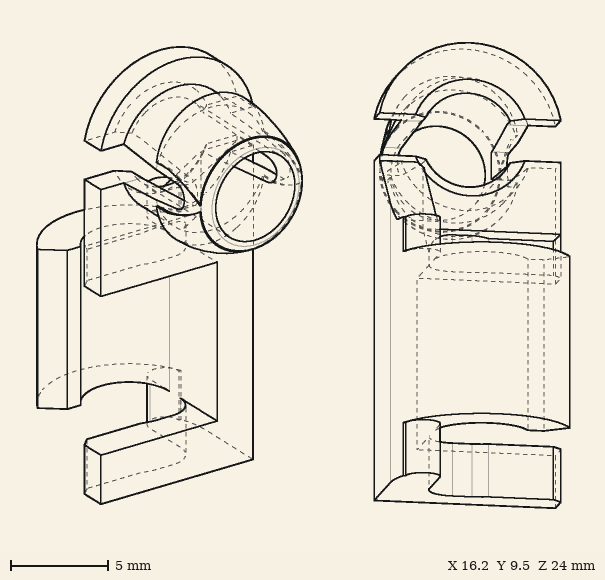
import cadquery as cq
import math


plate_thickness = 1.5
plate_top_z = 5.0
half_width = 4.75
cable_radius = 2.5
clip_x = -4.35
tip_inner_x = -5.53
tip_inner_y = -3.05
tip_outer_x = -6.5
arm_end_x = -6.1
arm_end_radius = 0.9
flange_depth = 0.5
flange_chamfer = 0.5
corner_radius = 1.48

bottom_z = -18.99
hook_bottom_z = -16.2
hook_top_z = -7.17
arm_top_z = -5.37
flange_slope_z = -4.89
arm_slope_z = -1.41

neck_radius = 3.5
neck_length = 3.0
plug_length = 7.1
bore_radius = 2.47
bore_chamfer = 0.6
tip_radius = 3.12
core_bulge_radius = 3.36
tip_round = 0.4
barb_radius = 3.37
barb_height = 4.22
barb_sections = 4
barb_tip_radius = 3.18
barb_edge_z = 1.25
barb_bend_x = 4.04
barb_middle = (5.4, 0.86)
barb_tip_z = 0.18
slot_half_height = 1.1
slot_end_radius = 0.72
slot_end_x = 5.45

plate_x = -plate_thickness
flange_x = plate_x - flange_depth
channel_x = clip_x + cable_radius
entry_radius = bore_radius + bore_chamfer


def block(x0, x1, y0, y1, z0, z1):
    """Axis-aligned box given by its limits."""
    return cq.Workplane("XY").box(x1 - x0, y1 - y0, z1 - z0, centered=False).translate((x0, y0, z0))


def cylinder_z(x, y, radius, z0, z1):
    return cq.Workplane("XY", origin=(x, y, z0)).circle(radius).extrude(z1 - z0)


def make_hook():
    """C-shaped hook joined to a straight arm that reaches the plate."""
    tip_outer_y = -math.sqrt(half_width**2 - (tip_outer_x - clip_x)**2)
    tip_channel_y = -math.sqrt(cable_radius**2 - (tip_inner_x - clip_x)**2)
    return (
        cq.Workplane("XY", origin=(0, 0, hook_bottom_z))
        .moveTo(0, cable_radius)
        .lineTo(0, half_width)
        .lineTo(clip_x, half_width)
        .threePointArc((clip_x - half_width, 0), (tip_outer_x, tip_outer_y))
        .lineTo(tip_inner_x, tip_inner_y)
        .lineTo(tip_inner_x, tip_channel_y)
        .threePointArc((clip_x - cable_radius, 0), (clip_x, cable_radius))
        .close()
        .extrude(hook_top_z - hook_bottom_z)
    )


def make_arm(z0, z1):
    """Straight arm with a rounded free end, kept inside the hook's outer cylinder."""
    arm = block(arm_end_x, 0, cable_radius, half_width, z0, z1)
    arm = arm.union(cylinder_z(arm_end_x, cable_radius + arm_end_radius, arm_end_radius, z0, z1))
    envelope = cylinder_z(clip_x, 0, half_width, z0, z1)
    envelope = envelope.union(block(clip_x, 0, -half_width, half_width, z0, z1))
    return arm.intersect(envelope)


def make_flange(z0, z1):
    """Plate thickening that follows the cable channel and is filleted into the arm."""
    corner_y = cable_radius - corner_radius
    corner_x = channel_x - corner_radius
    diagonal = corner_radius * math.sqrt(0.5)
    channel_end_y = -math.sqrt(cable_radius**2 - (flange_x - clip_x)**2)
    channel_mid_y = channel_end_y / 2
    channel_mid_x = clip_x + math.sqrt(cable_radius**2 - channel_mid_y**2)
    return (
        cq.Workplane("XY", origin=(0, 0, z0))
        .moveTo(0, -half_width)
        .lineTo(flange_x + flange_chamfer, -half_width)
        .lineTo(flange_x, flange_chamfer - half_width)
        .lineTo(flange_x, channel_end_y)
        .threePointArc((channel_mid_x, channel_mid_y), (channel_x, 0))
        .lineTo(channel_x, corner_y)
        .threePointArc((corner_x + diagonal, corner_y + diagonal), (corner_x, cable_radius))
        .lineTo(0, cable_radius)
        .close()
        .extrude(z1 - z0)
    )


def slope_45(top_z, y0, y1):
    """Prism under a 45 degree slope that descends from the plate at top_z."""
    run = top_z - hook_top_z
    return (
        cq.Workplane("XZ", origin=(0, y1, 0))
        .moveTo(0, hook_top_z)
        .lineTo(0, top_z)
        .lineTo(plate_x, top_z)
        .lineTo(plate_x - run, hook_top_z)
        .close()
        .extrude(y1 - y0)
    )


def make_upper_bracket():
    """Sloped arm and flange between the hook and the plug."""
    rib = make_arm(hook_top_z, arm_slope_z).intersect(slope_45(arm_slope_z, cable_radius, half_width))
    end = make_arm(hook_top_z, arm_top_z)
    flange = make_flange(hook_top_z, flange_slope_z)
    flange = flange.intersect(slope_45(flange_slope_z, -half_width, cable_radius))
    return rib.union(end).union(flange)


def make_plate():
    """Plate whose rounded head and square body stand on either side of the slot."""
    return (
        cq.Workplane("YZ", origin=(plate_x, 0, 0))
        .moveTo(-half_width, hook_top_z)
        .lineTo(-half_width, slot_half_height)
        .threePointArc((0, plate_top_z), (half_width, slot_half_height))
        .lineTo(half_width, hook_top_z)
        .close()
        .extrude(plate_thickness)
    )


def make_plug_core():
    """Round neck that narrows slightly to a rounded tip."""
    shoulder_x = plug_length - tip_round
    bulge_x = (neck_length + shoulder_x) / 2
    corner = tip_round * math.sqrt(0.5)
    return (
        cq.Workplane("XY")
        .lineTo(0, neck_radius)
        .lineTo(neck_length, neck_radius)
        .threePointArc((bulge_x, core_bulge_radius), (shoulder_x, tip_radius))
        .threePointArc((shoulder_x + corner, tip_radius - tip_round + corner),
                       (plug_length, tip_radius - tip_round))
        .lineTo(plug_length, 0)
        .close()
        .revolve(360, (0, 0, 0), (1, 0, 0))
    )


def make_barb():
    """Raised upper half of the snap head, made from circles that sink toward the axis."""
    head_length = plug_length - tip_round - neck_length
    lift = barb_height - barb_radius
    spacing = head_length / (barb_sections - 1)
    barb = cq.Workplane("YZ", origin=(neck_length, 0, 0))
    for section in range(barb_sections):
        fall = (section / (barb_sections - 1))**2
        radius = barb_radius + (barb_tip_radius - barb_radius) * fall
        if section > 0:
            barb = barb.workplane(offset=spacing)
        barb = barb.moveTo(0, lift * (1 - fall)).circle(radius)
    return barb.loft().cut(make_barb_limit())


def make_barb_limit():
    """Space below the barb: level beside the neck, then curving toward the axis at the tip."""
    return (
        cq.Workplane("XZ", origin=(0, plate_top_z, 0))
        .moveTo(0, -plate_top_z)
        .lineTo(0, barb_edge_z)
        .lineTo(barb_bend_x, barb_edge_z)
        .threePointArc(barb_middle, (plug_length - tip_round, barb_tip_z))
        .lineTo(plug_length, barb_tip_z)
        .lineTo(plug_length, -plate_top_z)
        .close()
        .extrude(2 * plate_top_z)
    )


def make_slot():
    """Tapered slot through the plate and plug with a round inner end."""
    end_x = slot_end_x - slot_end_radius
    return (
        cq.Workplane("XZ", origin=(0, plate_top_z, 0))
        .moveTo(plate_x, -slot_half_height)
        .lineTo(0, -slot_half_height)
        .lineTo(end_x, -slot_end_radius)
        .threePointArc((slot_end_x, 0), (end_x, slot_end_radius))
        .lineTo(0, slot_half_height)
        .lineTo(plate_x, slot_half_height)
        .close()
        .extrude(2 * plate_top_z)
    )


def make_bore():
    """Through bore with a countersunk entry; the entry width continues over the arm."""
    return (
        cq.Workplane("XY")
        .moveTo(clip_x, 0)
        .lineTo(clip_x, entry_radius)
        .lineTo(plate_x, entry_radius)
        .lineTo(plate_x + bore_chamfer, bore_radius)
        .lineTo(plug_length, bore_radius)
        .lineTo(plug_length, 0)
        .close()
        .revolve(360, (0, 0, 0), (1, 0, 0))
    )


barb = make_barb()
plug = make_plug_core().union(barb).union(barb.mirror("XY")).union(make_plate())
plug_and_bracket = plug.union(make_upper_bracket()).cut(make_bore()).cut(make_slot())

lower_bracket = make_arm(bottom_z, hook_bottom_z).union(make_flange(bottom_z, hook_bottom_z))

result = plug_and_bracket.union(make_hook()).union(lower_bracket)